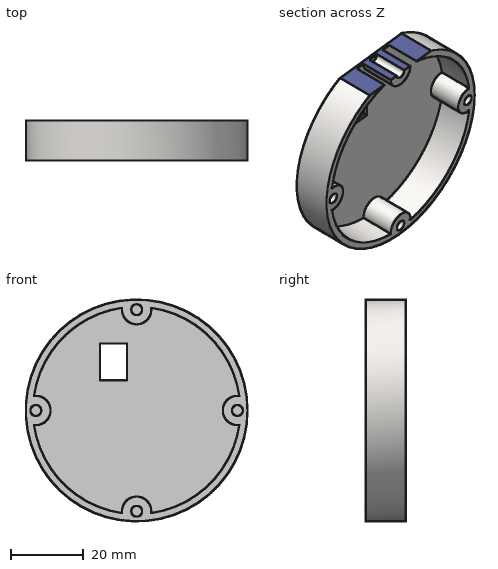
import cadquery as cq

outer_diameter = 60.8
case_depth = 11.0
inner_diameter = 56.8
floor_thickness = 1.0

boss_count = 4
boss_circle_radius = 27.6
boss_diameter = 8.0
screw_hole_diameter = 3.0
screw_hole_depth = case_depth - floor_thickness

window_width = 7.3
window_height = 10.0
window_center_x = -6.3
window_center_z = 13.3


def disc(diameter, depth):
    """Disc around the Y axis, running from the open face (Y = 0) toward +Y."""
    return cq.Workplane("XZ").circle(diameter / 2).extrude(-depth)


def disc_ring(diameter, depth):
    """Equally spaced discs on the boss circle, starting at the open face."""
    return (
        cq.Workplane("XZ")
        .polarArray(boss_circle_radius, 0, 360, boss_count)
        .circle(diameter / 2)
        .extrude(-depth)
    )


envelope = disc(outer_diameter, case_depth)
cavity = disc(inner_diameter, case_depth - floor_thickness)

bosses = disc_ring(boss_diameter, case_depth).intersect(envelope)
screw_holes = disc_ring(screw_hole_diameter, screw_hole_depth)

window = (
    cq.Workplane("XZ")
    .center(window_center_x, window_center_z)
    .rect(window_width, window_height)
    .extrude(-case_depth)
)

result = envelope.cut(cavity).union(bosses).cut(screw_holes).cut(window)